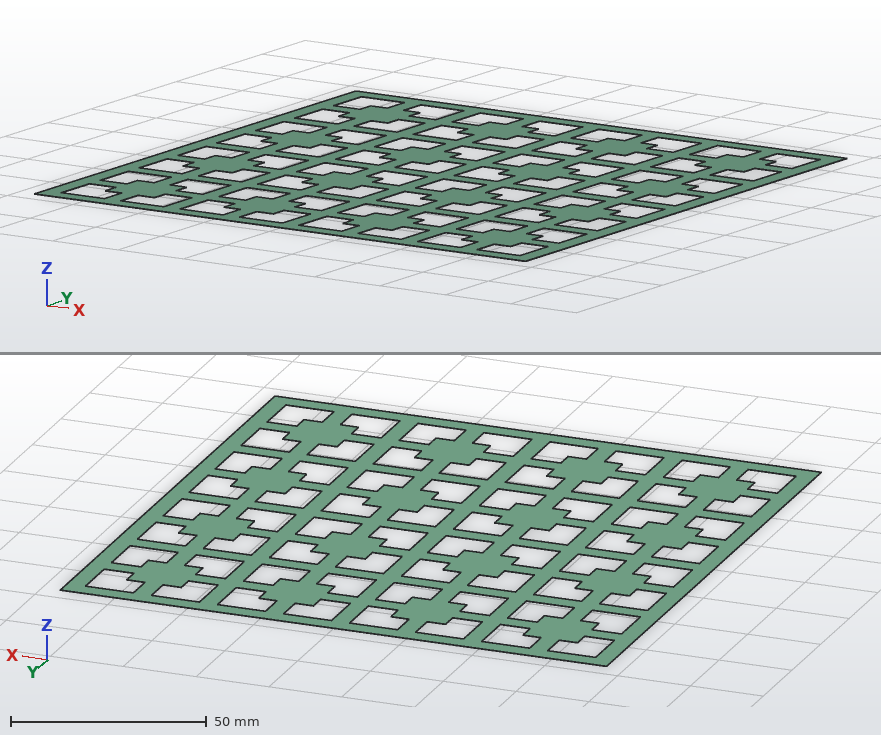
import cadquery as cq

side = 150.0
thickness = 0.2
bar_width = 5.0
block_width = 15.0
openings_per_side = 8

pitch = (side - bar_width) / openings_per_side
opening_width = pitch - bar_width
blocks_per_side = openings_per_side // 2
block_pitch = 2 * pitch


def square_array(width, spacing, count):
    """Square prisms of the sheet thickness in a centred count x count array."""
    return (
        cq.Workplane("XY")
        .rarray(spacing, spacing, count, count)
        .rect(width, width)
        .extrude(thickness)
    )


sheet = cq.Workplane("XY").rect(side, side).extrude(thickness)

openings = square_array(opening_width, pitch, openings_per_side)
blocks = square_array(block_width, block_pitch, blocks_per_side)

result = sheet.cut(openings.cut(blocks))